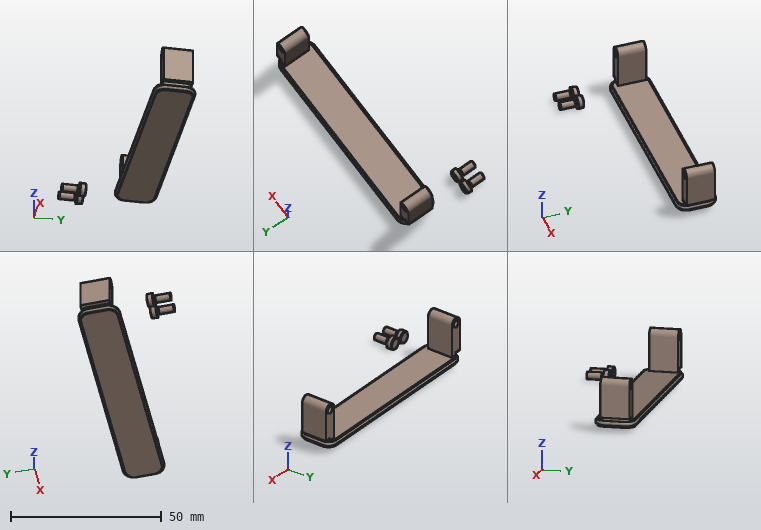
import cadquery as cq

PLATE_LENGTH = 71.25
PLATE_WIDTH = 12.6
PLATE_THICKNESS = 2.5
PLATE_CORNER_RADIUS = 3.0

LUG_OVERHANG = 1.4
LUG_THICKNESS = 4.55
LUG_WIDTH = 9.9
LUG_SHIFT_Y = 0.5
LUG_NOTCH_Z = 3.4
LUG_HOLE_Z = 14.5
LUG_HOLE_DIAMETER = 2.6
LUG_HOLE_X = PLATE_LENGTH / 2 + LUG_OVERHANG - LUG_THICKNESS / 2

SEAL_RADIUS = 0.75
SEAL_Z = PLATE_THICKNESS / 2

SCREW_COUNT = 2
SCREW_PITCH = 5.0
SCREW_FIRST_X = -36.5
SCREW_TIP_Y = -25.3
SCREW_AXIS_Z = 0.0
HEAD_RADIUS = 2.3
HEAD_LENGTH = 2.0
HEAD_TAPER = 0.11
HEAD_CHAMFER = 0.2
NECK_RADIUS = 1.05
NECK_LENGTH = 0.5
RUNOUT_LENGTH = 0.4
SHANK_RADIUS = LUG_HOLE_DIAMETER / 2
SHANK_LENGTH = 5.1
TIP_CHAMFER = 0.15


def rounded_block(height):
    """Block with the rounded outline of the plate, standing on Z = 0."""
    block = cq.Workplane("XY").box(PLATE_LENGTH, PLATE_WIDTH, height, centered=(True, True, False))
    return block.edges("|Z").fillet(PLATE_CORNER_RADIUS)


def make_seal():
    """Cord of circular section that follows the outline of the plate."""
    path = rounded_block(SEAL_Z).faces(">Z").wires().val()
    section = cq.Workplane("YZ").center(PLATE_WIDTH / 2, SEAL_Z).circle(SEAL_RADIUS)
    return section.sweep(cq.Workplane(path))


def make_lug(side):
    """Round-topped lug; side is -1 for the -X end and +1 for the +X end."""
    hole_x = side * LUG_HOLE_X
    upright_height = LUG_HOLE_Z - LUG_NOTCH_Z
    upright = (
        cq.Workplane("XY", origin=(hole_x, LUG_SHIFT_Y, LUG_NOTCH_Z))
        .box(LUG_THICKNESS, LUG_WIDTH, upright_height, centered=(True, True, False))
    )
    foot = (
        cq.Workplane("XY", origin=(hole_x, LUG_SHIFT_Y, 0))
        .box(LUG_THICKNESS, LUG_WIDTH, LUG_NOTCH_Z, centered=(True, True, False))
        .intersect(rounded_block(LUG_NOTCH_Z))
    )
    hole_face = cq.Workplane("XZ", origin=(hole_x, LUG_SHIFT_Y + LUG_WIDTH / 2, LUG_HOLE_Z))
    round_top = hole_face.circle(LUG_THICKNESS / 2).extrude(LUG_WIDTH)
    hole = hole_face.circle(LUG_HOLE_DIAMETER / 2).extrude(LUG_WIDTH)
    return upright.union(foot).union(round_top).cut(hole)


def make_frame(seal):
    """Plate with a lug at each end and a groove for the seal around its edge."""
    frame = rounded_block(PLATE_THICKNESS)
    for side in (-1, 1):
        frame = frame.union(make_lug(side))
    return frame.cut(seal).solids()


def make_screw(index):
    """Turned screw with a slightly tapered head and a conical runout from shank to neck."""
    neck_start = SHANK_LENGTH + RUNOUT_LENGTH
    head_start = neck_start + NECK_LENGTH
    head_end = head_start + HEAD_LENGTH
    top_radius = HEAD_RADIUS - HEAD_TAPER
    return (
        cq.Workplane("XY")
        .lineTo(SHANK_RADIUS - TIP_CHAMFER, 0)
        .lineTo(SHANK_RADIUS, TIP_CHAMFER)
        .lineTo(SHANK_RADIUS, SHANK_LENGTH)
        .lineTo(NECK_RADIUS, neck_start)
        .lineTo(NECK_RADIUS, head_start)
        .lineTo(HEAD_RADIUS, head_start)
        .lineTo(top_radius, head_end - HEAD_CHAMFER)
        .lineTo(top_radius - HEAD_CHAMFER, head_end)
        .lineTo(0, head_end)
        .close()
        .revolve(360, (0, 0, 0), (0, 1, 0))
        .translate((SCREW_FIRST_X + index * SCREW_PITCH, SCREW_TIP_Y, SCREW_AXIS_Z))
    )


seal = make_seal()
frame = make_frame(seal)
screws = [make_screw(index) for index in range(SCREW_COUNT)]

result = cq.Compound.makeCompound([frame.val(), seal.val(), *[screw.val() for screw in screws]])